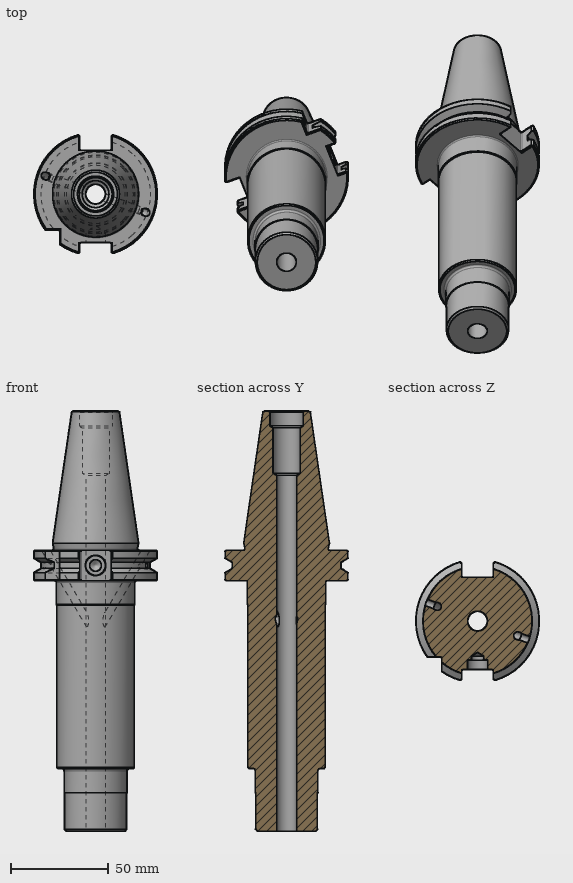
import cadquery as cq
import math


GAUGE_DIA = 44.45
TAPER_LENGTH = 68.4
TAPER_LARGE_END = 0.4
TAPER_RATE = 7 / 24
NOSE_DIA = GAUGE_DIA - TAPER_RATE * TAPER_LENGTH
NOSE_CHAMFER_WIDTH = 1.0
NOSE_CHAMFER_HEIGHT = 0.6
TAPER_LARGE_DIA = GAUGE_DIA - TAPER_RATE * TAPER_LARGE_END
RELIEF_DIA = 43.2
RELIEF_FILLET = 0.8

FLANGE_DIA = 63.55
FLANGE_TOP = -3.2
FLANGE_BOTTOM = -19.1
FLANGE_CHAMFER = 0.7
GROOVE_CENTER = -11.1
GROOVE_ROOT_DIA = 56.25
GROOVE_ROOT_WIDTH = 3.1
GROOVE_FLANK_ANGLE = 30

COLLAR_DIA = 40.5
COLLAR_FILLET = 0.6
COLLAR_BOTTOM = -31.0
COLLAR_STEP_HEIGHT = 0.6
BODY_DIA = 40.0
BODY_BOTTOM = -115.6
BODY_CHAMFER = 0.7
NECK_DIA = 32.5
NECK_FILLET = 1.1
NECK_BOTTOM = -128.0
TIP_DIA = 32.0
OVERALL_LENGTH = 216.25
TIP = TAPER_LENGTH - OVERALL_LENGTH
TIP_CHAMFER = 1.0

SLOT_WIDTH = 16.1
SLOT_FLOOR_NEG_Y = 25.0
SLOT_FLOOR_POS_Y = 22.6
NOTCH_OFFSET = 18.5
CORNER_FILLET = 0.6
FACE_EDGE_CHAMFER = 0.65
RIM_EDGE_CHAMFER = 0.845
FLARE_ANGLE = 45

MOUTH_DIA = 18.6
BORE_DIA = 17.0
BORE_DEPTH = 7.8
THREAD_DIA = 13.84
THREAD_DEPTH = 32.0
COUNTERSINK_ANGLE = 120
THROUGH_DIA = 10.0

SEAT_DIA = 10.11
SEAT_CHAMFER = 0.2
SEAT_DEPTH = 5.0
SEAT_HOLE_DIA = 6.0
SEAT_HOLE_DEPTH = 7.0
DRILL_POINT_ANGLE = 118

COOLANT_DIA = 3.9
COOLANT_RADIUS = 27.3
COOLANT_ANGLES = (160, 340)
COOLANT_TILT = 32
PLUG_DIA = 3.24
PLUG_END_RADIUS = 22.0

ARC_MID_FACTOR = 1 - math.sqrt(0.5)


def revolve_profile(points):
    """Revolve a closed (radius, height) outline about Z."""
    return cq.Workplane("XZ").polyline(points).close().revolve(360, (0, 0), (0, 1))


def make_taper():
    """Taper, undercut relief below it, and the fillet that runs out on the flange face."""
    relief_radius = RELIEF_DIA / 2
    fillet_mid = RELIEF_FILLET * ARC_MID_FACTOR
    return (
        cq.Workplane("XZ")
        .moveTo(0, TAPER_LENGTH)
        .lineTo(NOSE_DIA / 2 - NOSE_CHAMFER_WIDTH, TAPER_LENGTH)
        .lineTo(NOSE_DIA / 2 + TAPER_RATE / 2 * NOSE_CHAMFER_HEIGHT, TAPER_LENGTH - NOSE_CHAMFER_HEIGHT)
        .lineTo(TAPER_LARGE_DIA / 2, TAPER_LARGE_END)
        .lineTo(relief_radius, FLANGE_TOP + RELIEF_FILLET)
        .threePointArc(
            (relief_radius + fillet_mid, FLANGE_TOP + fillet_mid),
            (relief_radius + RELIEF_FILLET, FLANGE_TOP),
        )
        .lineTo(0, FLANGE_TOP)
        .close()
        .revolve(360, (0, 0), (0, 1))
    )


def make_flange():
    """Chamfered disc with the V-groove around its rim."""
    thickness = FLANGE_TOP - FLANGE_BOTTOM
    disc = cq.Workplane("XY").workplane(offset=FLANGE_BOTTOM).circle(FLANGE_DIA / 2).extrude(thickness)
    disc = disc.edges().chamfer(FLANGE_CHAMFER)
    groove_depth = (FLANGE_DIA - GROOVE_ROOT_DIA) / 2
    root_half = GROOVE_ROOT_WIDTH / 2
    mouth_half = root_half + groove_depth * math.tan(math.radians(GROOVE_FLANK_ANGLE))
    groove = revolve_profile([
        (GROOVE_ROOT_DIA / 2, GROOVE_CENTER + root_half),
        (FLANGE_DIA / 2, GROOVE_CENTER + mouth_half),
        (FLANGE_DIA / 2, GROOVE_CENTER - mouth_half),
        (GROOVE_ROOT_DIA / 2, GROOVE_CENTER - root_half),
    ])
    return disc.cut(groove)


def make_shank():
    """Collar, body, neck and tip below the flange, with filleted inner corners."""
    neck_radius = NECK_DIA / 2
    neck_fillet_mid = NECK_FILLET * ARC_MID_FACTOR
    collar_radius = COLLAR_DIA / 2
    collar_fillet_mid = COLLAR_FILLET * ARC_MID_FACTOR
    return (
        cq.Workplane("XZ")
        .moveTo(0, FLANGE_BOTTOM)
        .lineTo(collar_radius + COLLAR_FILLET, FLANGE_BOTTOM)
        .threePointArc(
            (collar_radius + collar_fillet_mid, FLANGE_BOTTOM - collar_fillet_mid),
            (collar_radius, FLANGE_BOTTOM - COLLAR_FILLET),
        )
        .lineTo(collar_radius, COLLAR_BOTTOM)
        .lineTo(BODY_DIA / 2, COLLAR_BOTTOM - COLLAR_STEP_HEIGHT)
        .lineTo(BODY_DIA / 2, BODY_BOTTOM + BODY_CHAMFER)
        .lineTo(BODY_DIA / 2 - BODY_CHAMFER, BODY_BOTTOM)
        .lineTo(neck_radius + NECK_FILLET, BODY_BOTTOM)
        .threePointArc(
            (neck_radius + neck_fillet_mid, BODY_BOTTOM - neck_fillet_mid),
            (neck_radius, BODY_BOTTOM - NECK_FILLET),
        )
        .lineTo(neck_radius, NECK_BOTTOM)
        .lineTo(TIP_DIA / 2, NECK_BOTTOM)
        .lineTo(TIP_DIA / 2, TIP + TIP_CHAMFER)
        .lineTo(TIP_DIA / 2 - TIP_CHAMFER, TIP)
        .lineTo(0, TIP)
        .close()
        .revolve(360, (0, 0), (0, 1))
    )


def make_pocket(x_min, x_max, y_min, y_max):
    """Block with rounded upright edges that removes a rectangle through the full flange height."""
    height = FLANGE_TOP - FLANGE_BOTTOM
    block = cq.Workplane("XY").box(x_max - x_min, y_max - y_min, height, centered=False)
    return block.edges("|Z").fillet(CORNER_FILLET).translate((x_min, y_min, FLANGE_BOTTOM))


def make_slot(floor_offset):
    """Drive slot cutter on the +Y side, with its side walls flared at the flange faces and rim."""
    half = SLOT_WIDTH / 2
    face_half = half + FACE_EDGE_CHAMFER
    rim_half = half + RIM_EDGE_CHAMFER
    outer = FLANGE_DIA / 2
    rim_y = math.sqrt(outer ** 2 - rim_half ** 2)
    slot = make_pocket(-half, half, floor_offset, outer + CORNER_FILLET)
    for face, inward in ((FLANGE_TOP, -1), (FLANGE_BOTTOM, 1)):
        face_flare = (
            cq.Workplane("XZ", origin=(0, floor_offset, 0))
            .moveTo(-face_half, face)
            .lineTo(face_half, face)
            .lineTo(half, face + inward * FACE_EDGE_CHAMFER)
            .lineTo(-half, face + inward * FACE_EDGE_CHAMFER)
            .close()
            .extrude(floor_offset - outer)
        )
        slot = slot.union(face_flare)
    rim_flare = (
        cq.Workplane("XY", origin=(0, 0, FLANGE_BOTTOM))
        .moveTo(-half, rim_y - RIM_EDGE_CHAMFER)
        .lineTo(half, rim_y - RIM_EDGE_CHAMFER)
        .lineTo(rim_half, rim_y)
        .lineTo(rim_half, outer)
        .lineTo(-rim_half, outer)
        .lineTo(-rim_half, rim_y)
        .close()
        .extrude(FLANGE_TOP - FLANGE_BOTTOM)
    )
    return slot.union(rim_flare)


def make_notch():
    """Corner notch cutter at (-X, -Y), with its walls flared at both flange faces."""
    outer = FLANGE_DIA / 2
    pocket = make_pocket(-outer, -NOTCH_OFFSET, -outer, -NOTCH_OFFSET)
    side = 2 * (outer - NOTCH_OFFSET + FACE_EDGE_CHAMFER)
    flare = cq.Workplane("XY").rect(side, side).extrude(FACE_EDGE_CHAMFER, taper=FLARE_ANGLE)
    lower_flare = flare.translate((-outer, -outer, FLANGE_BOTTOM))
    upper_flare = flare.mirror("XY").translate((-outer, -outer, FLANGE_TOP))
    return pocket.union(lower_flare).union(upper_flare)


def make_pull_stud_bore():
    """Stepped bore from the nose, continued by the through hole to the tip."""
    mouth_chamfer = (MOUTH_DIA - BORE_DIA) / 2
    bore_chamfer = (BORE_DIA - THREAD_DIA) / 2 / math.tan(math.radians(COUNTERSINK_ANGLE / 2))
    point_height = (THREAD_DIA - THROUGH_DIA) / 2 / math.tan(math.radians(DRILL_POINT_ANGLE / 2))
    return revolve_profile([
        (0, TAPER_LENGTH),
        (MOUTH_DIA / 2, TAPER_LENGTH),
        (BORE_DIA / 2, TAPER_LENGTH - mouth_chamfer),
        (BORE_DIA / 2, TAPER_LENGTH - BORE_DEPTH),
        (THREAD_DIA / 2, TAPER_LENGTH - BORE_DEPTH - bore_chamfer),
        (THREAD_DIA / 2, TAPER_LENGTH - THREAD_DEPTH),
        (THROUGH_DIA / 2, TAPER_LENGTH - THREAD_DEPTH - point_height),
        (THROUGH_DIA / 2, TIP),
        (0, TIP),
    ])


def make_slot_seat():
    """Stepped blind hole with a drill point, entering the floor of the -Y slot along +Y."""
    point_height = SEAT_HOLE_DIA / 2 / math.tan(math.radians(DRILL_POINT_ANGLE / 2))
    hole = revolve_profile([
        (0, 0),
        (SEAT_DIA / 2 + SEAT_CHAMFER, 0),
        (SEAT_DIA / 2, -SEAT_CHAMFER),
        (SEAT_DIA / 2, -SEAT_DEPTH),
        (SEAT_HOLE_DIA / 2, -SEAT_DEPTH),
        (SEAT_HOLE_DIA / 2, -SEAT_HOLE_DEPTH),
        (0, -SEAT_HOLE_DEPTH - point_height),
    ])
    return hole.rotate((0, 0, 0), (1, 0, 0), 90).translate((0, -SLOT_FLOOR_NEG_Y, GROOVE_CENTER))


def make_coolant_hole(angle):
    """Inclined hole from the flange face to the central bore, with a radial plug hole from the groove."""
    tilt = math.radians(COOLANT_TILT)
    length = COOLANT_RADIUS / math.sin(tilt)
    direction = cq.Vector(-math.sin(tilt), 0, -math.cos(tilt))
    start = cq.Vector(COOLANT_RADIUS, 0, FLANGE_TOP) - direction * COOLANT_DIA
    inclined = cq.Solid.makeCylinder(COOLANT_DIA / 2, length + COOLANT_DIA, start, direction)
    plug = cq.Solid.makeCylinder(
        PLUG_DIA / 2,
        FLANGE_DIA / 2 - PLUG_END_RADIUS,
        cq.Vector(PLUG_END_RADIUS, 0, GROOVE_CENTER),
        cq.Vector(1, 0, 0),
    )
    return cq.Workplane(inclined).union(cq.Workplane(plug)).rotate((0, 0, 0), (0, 0, 1), angle)


flange = make_flange()
flange = flange.cut(make_slot(SLOT_FLOOR_POS_Y))
flange = flange.cut(make_slot(SLOT_FLOOR_NEG_Y).rotate((0, 0, 0), (0, 0, 1), 180))
flange = flange.cut(make_notch())

result = make_taper().union(flange).union(make_shank())
result = result.cut(make_pull_stud_bore()).cut(make_slot_seat())
for hole_angle in COOLANT_ANGLES:
    result = result.cut(make_coolant_hole(hole_angle))